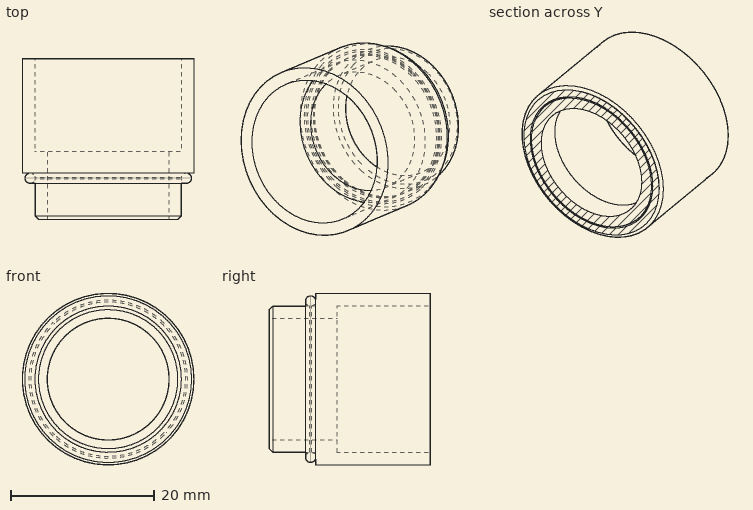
import cadquery as cq

body_diameter = 24.0
body_length = 16.0
total_length = 22.5
spigot_diameter = 20.45
bore_diameter = 17.0
tip_chamfer = 0.5

socket_diameter = spigot_diameter
socket_depth = 13.0

ring_thickness = 1.45
ring_embed = 0.012

spigot_length = total_length - body_length
ring_radius = ring_thickness / 2
ring_center_radius = spigot_diameter / 2 + ring_radius - ring_embed
ring_center_y = spigot_length - ring_radius + ring_embed


def cylinder(diameter, start_y, length):
    """Solid cylinder on the Y axis, running toward +Y from start_y."""
    plane = cq.Plane(origin=(0, start_y, 0), xDir=(1, 0, 0), normal=(0, 1, 0))
    return cq.Workplane(plane).circle(diameter / 2).extrude(length)


def seal_ring():
    """Round-section ring centred on the Y axis."""
    section = cq.Workplane("XY").center(ring_center_radius, ring_center_y).circle(ring_radius)
    return section.revolve(360, (-ring_center_radius, 0, 0), (-ring_center_radius, 1, 0))


body = cylinder(body_diameter, spigot_length, body_length)
spigot = cylinder(spigot_diameter, 0, total_length).faces("<Y").edges().chamfer(tip_chamfer)
bore = cylinder(bore_diameter, 0, total_length)
socket = cylinder(socket_diameter, total_length - socket_depth, socket_depth)

sleeve = body.union(spigot).union(seal_ring()).cut(bore).cut(socket)
result = sleeve.translate((0, -total_length / 2, 0))